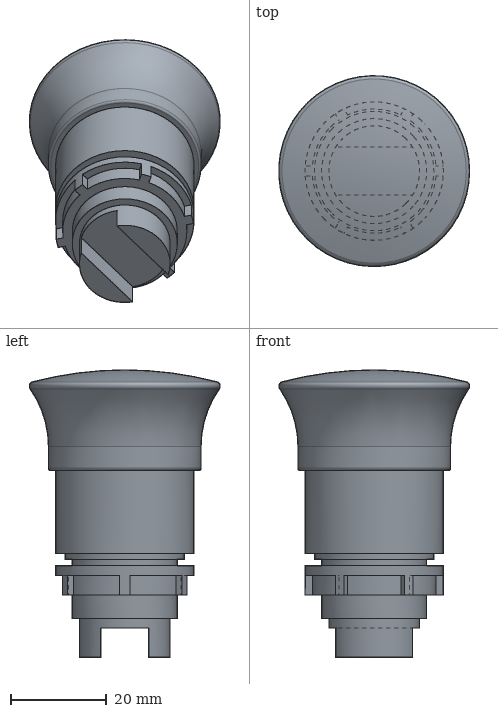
import cadquery as cq
import math

LEG_SLOT_TOP = 6.1
PLUG_TOP = 8.1
NUT_BOTTOM = 13.0
NUT_FLANGE_BOTTOM = 17.1
NUT_TOP = 19.2
NECK_TOP = 20.5
SEAT_TOP = 21.7
SLEEVE_TOP = 39.1
COLLAR_TOP = 44.1
FLARE_TOP = 56.2
RIM_HEIGHT = 56.75
DOME_EDGE = 57.7
TOTAL_HEIGHT = 60.2

PLUG_RADIUS = 9.5
NECK_RADIUS = 11.0
SEAT_RADIUS = 12.5
SLEEVE_RADIUS = 14.5
COLLAR_RADIUS = 16.0
RIM_RADIUS = 20.0
FLARE_TOP_RADIUS = 19.8
DOME_EDGE_RADIUS = 19.3
COLLAR_FILLET = 0.5

LEG_SLOT_WIDTH = 10.0

NUT_RADIUS = SLEEVE_RADIUS
NUT_CORE_RADIUS = 13.0
RIB_COUNT = 6
RIB_WIDTH = 2.1


def cylinder(radius, bottom, top):
    """Solid cylinder on the Z axis between two heights."""
    return cq.Workplane("XY").workplane(offset=bottom).circle(radius).extrude(top - bottom)


def make_body():
    """Stack of cylinders from the plug up to the sleeve."""
    plug = cylinder(PLUG_RADIUS, 0, PLUG_TOP)
    neck = cylinder(NECK_RADIUS, PLUG_TOP, NECK_TOP)
    seat = cylinder(SEAT_RADIUS, NECK_TOP, SEAT_TOP)
    sleeve = cylinder(SLEEVE_RADIUS, SEAT_TOP, SLEEVE_TOP)
    return plug.union(neck).union(seat).union(sleeve)


def make_leg_slot():
    """Cutter for the slot that runs along X through the plug."""
    return cq.Workplane("XY").box(
        2 * NECK_RADIUS, LEG_SLOT_WIDTH, LEG_SLOT_TOP, centered=(True, True, False)
    )


def make_nut():
    """Flange over a thinner core, with ribs around the core that reach the flange radius."""
    flange = cylinder(NUT_RADIUS, NUT_FLANGE_BOTTOM, NUT_TOP)
    nut = flange.union(cylinder(NUT_CORE_RADIUS, NUT_BOTTOM, NUT_FLANGE_BOTTOM))
    envelope = cylinder(NUT_RADIUS, NUT_BOTTOM, NUT_FLANGE_BOTTOM)
    for index in range(RIB_COUNT):
        bar = (
            cq.Workplane("XY")
            .workplane(offset=NUT_BOTTOM)
            .rect(NUT_RADIUS, RIB_WIDTH)
            .extrude(NUT_FLANGE_BOTTOM - NUT_BOTTOM)
            .translate((NUT_RADIUS, 0, 0))
            .rotate((0, 0, 0), (0, 0, 1), index * 360 / RIB_COUNT)
        )
        nut = nut.union(bar.intersect(envelope))
    return nut


def make_cap():
    """Mushroom head: collar, concave flare, rounded rim and shallow dome."""
    flare_run = FLARE_TOP_RADIUS - COLLAR_RADIUS
    flare_rise = FLARE_TOP - COLLAR_TOP
    flare_half_angle = math.atan2(flare_run, flare_rise)
    flare_arc_radius = flare_rise / math.sin(2 * flare_half_angle)
    flare_middle = (
        COLLAR_RADIUS + flare_arc_radius * (1 - math.cos(flare_half_angle)),
        COLLAR_TOP + flare_arc_radius * math.sin(flare_half_angle),
    )
    rim_widest = (RIM_RADIUS, RIM_HEIGHT)
    dome_rise = TOTAL_HEIGHT - DOME_EDGE
    dome_arc_radius = (DOME_EDGE_RADIUS**2 + dome_rise**2) / (2 * dome_rise)
    dome_middle_radius = DOME_EDGE_RADIUS / 2
    dome_middle_drop = dome_arc_radius - math.sqrt(dome_arc_radius**2 - dome_middle_radius**2)
    profile = (
        cq.Workplane("XZ")
        .moveTo(0, SLEEVE_TOP)
        .lineTo(COLLAR_RADIUS, SLEEVE_TOP)
        .lineTo(COLLAR_RADIUS, COLLAR_TOP)
        .threePointArc(flare_middle, (FLARE_TOP_RADIUS, FLARE_TOP))
        .threePointArc(rim_widest, (DOME_EDGE_RADIUS, DOME_EDGE))
        .threePointArc((dome_middle_radius, TOTAL_HEIGHT - dome_middle_drop), (0, TOTAL_HEIGHT))
        .close()
    )
    cap = profile.revolve(360, (0, 0, 0), (0, 1, 0))
    return cap.faces("<Z").edges().fillet(COLLAR_FILLET)


body = make_body().cut(make_leg_slot())
result = body.union(make_nut()).union(make_cap())